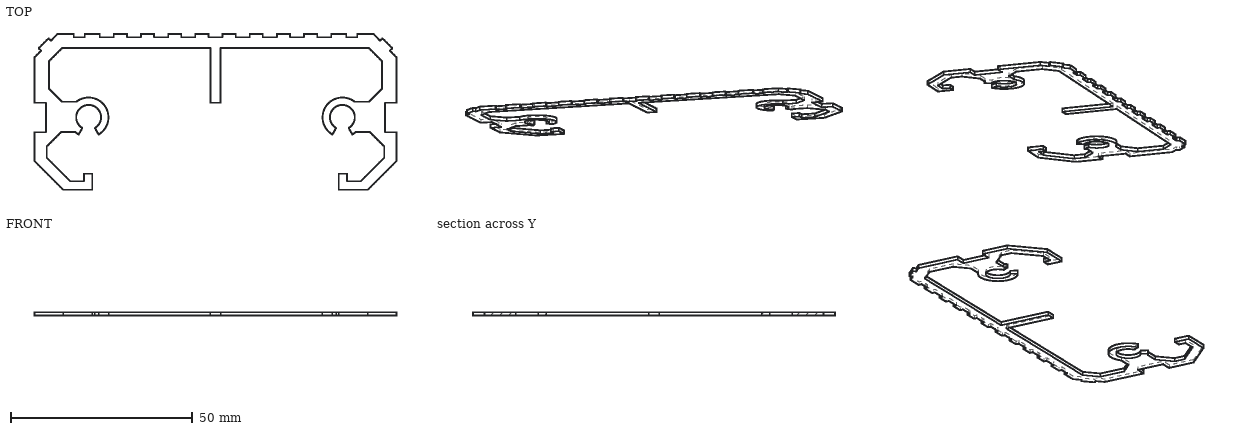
import cadquery as cq
import math

WIDTH = 100.0
HEIGHT = 43.0
THICKNESS = 1.0
HALF_WIDTH = WIDTH / 2

ROOF_WALL = 3.9
UPPER_WALL = 4.1
UPPER_WALL_TAPER = 0.05
SHOULDER = 6.4
SHOULDER_ANGLE = -45.0
INNER_SHOULDER = 3.6
ROOF_UNDERSIDE = HEIGHT - ROOF_WALL
UPPER_WALL_INSIDE = HALF_WIDTH - UPPER_WALL

NOTCH_BOTTOM = 15.9
NOTCH_TOP = 24.0
NOTCH_DEPTH = 3.2

WEB_TOP = 24.3
WEB_BOTTOM = NOTCH_BOTTOM
WEB_UPPER_CORNER = 3.6
WEB_LOWER_CORNER = 3.9

PORT_X = 35.0
PORT_Y = 20.0
PORT_OUTER_RADIUS = 5.5
PORT_INNER_RADIUS = 3.4
PORT_OPENING_ANGLE = 60.0
OPENING_OVERRUN = 1.0

FOOT_SLANT = 8.0
LOWER_WALL = 3.5
FOOT_WALL = 2.4
FOOT_INNER_SLANT = 6.4
FOOT_REACH = 16.0
LIP_WALL = 2.3
LIP_HEIGHT = 4.5

STEM_WIDTH = 2.8
STEM_END = 24.0

GROOVE_DEPTH = 0.9
GROOVE_WIDTH = 3.8
GROOVE_PITCH = 7.5
GROOVES_PER_SIDE = 4
END_GROOVE_WIDTH = 3.0
END_GROOVE_X = 37.6
TOOTH_WIDTH = 3.9
TOOTH_HEIGHT = GROOVE_DEPTH


def block(x, y, width, height):
    """Plate-thick rectangle centred on x with its lower edge at y."""
    return cq.Workplane("XY").center(x, y + height / 2).rect(width, height).extrude(THICKNESS)


def half_frame():
    """Right half of the frame: half the roof, the wall, the port web and the foot."""
    wall_top_x = HALF_WIDTH - UPPER_WALL_TAPER
    lower_wall_inside = HALF_WIDTH - LOWER_WALL
    foot_end = HALF_WIDTH - FOOT_REACH
    lip_inside = foot_end + LIP_WALL
    notch_x = HALF_WIDTH - NOTCH_DEPTH
    outline = [
        (0, HEIGHT),
        (HALF_WIDTH - SHOULDER, HEIGHT),
        (wall_top_x, HEIGHT - SHOULDER - UPPER_WALL_TAPER),
        (HALF_WIDTH, NOTCH_TOP),
        (notch_x, NOTCH_TOP),
        (notch_x, NOTCH_BOTTOM),
        (HALF_WIDTH, NOTCH_BOTTOM),
        (HALF_WIDTH, FOOT_SLANT),
        (HALF_WIDTH - FOOT_SLANT, 0),
        (foot_end, 0),
        (foot_end, LIP_HEIGHT),
        (lip_inside, LIP_HEIGHT),
        (lip_inside, FOOT_WALL),
        (lower_wall_inside - FOOT_INNER_SLANT, FOOT_WALL),
        (lower_wall_inside, FOOT_WALL + FOOT_INNER_SLANT),
        (lower_wall_inside, WEB_BOTTOM - WEB_LOWER_CORNER),
        (lower_wall_inside - WEB_LOWER_CORNER, WEB_BOTTOM),
        (PORT_X, WEB_BOTTOM),
        (PORT_X, WEB_TOP),
        (UPPER_WALL_INSIDE - WEB_UPPER_CORNER, WEB_TOP),
        (UPPER_WALL_INSIDE, WEB_TOP + WEB_UPPER_CORNER),
        (UPPER_WALL_INSIDE, ROOF_UNDERSIDE - INNER_SHOULDER),
        (UPPER_WALL_INSIDE - INNER_SHOULDER, ROOF_UNDERSIDE),
        (0, ROOF_UNDERSIDE),
    ]
    return cq.Workplane("XY").polyline(outline).close().extrude(THICKNESS)


def add_screw_port(body):
    """Add the round port, then cut its bore and its downward wedge opening."""
    port = cq.Workplane("XY").center(PORT_X, PORT_Y)
    ring = port.circle(PORT_OUTER_RADIUS).extrude(THICKNESS)
    bore = port.circle(PORT_INNER_RADIUS).extrude(THICKNESS)
    wedge_depth = PORT_OUTER_RADIUS + OPENING_OVERRUN
    wedge_half_width = wedge_depth * math.tan(math.radians(PORT_OPENING_ANGLE / 2))
    wedge = port.polyline(
        [(0, 0), (wedge_half_width, -wedge_depth), (-wedge_half_width, -wedge_depth)]
    ).close().extrude(THICKNESS)
    return body.union(ring).cut(bore).cut(wedge)


def shoulder_tooth():
    """Grip tooth standing square on the middle of the slanted shoulder."""
    tooth = block(0, -TOOTH_HEIGHT, TOOTH_WIDTH, 2 * TOOTH_HEIGHT)
    tooth = tooth.rotate((0, 0, 0), (0, 0, 1), SHOULDER_ANGLE)
    return tooth.translate((HALF_WIDTH - SHOULDER / 2, HEIGHT - SHOULDER / 2, 0))


def cut_roof_grooves(body):
    """Cut the evenly spaced grooves and the narrower one at each end."""
    floor = HEIGHT - GROOVE_DEPTH
    for i in range(-GROOVES_PER_SIDE, GROOVES_PER_SIDE + 1):
        body = body.cut(block(i * GROOVE_PITCH, floor, GROOVE_WIDTH, GROOVE_DEPTH))
    for side in (-1, 1):
        body = body.cut(block(side * END_GROOVE_X, floor, END_GROOVE_WIDTH, GROOVE_DEPTH))
    return body


right_half = add_screw_port(half_frame()).union(shoulder_tooth())
frame = right_half.union(right_half.mirror("YZ"))
stem = block(0, STEM_END, STEM_WIDTH, ROOF_UNDERSIDE - STEM_END)
result = cut_roof_grooves(frame.union(stem))